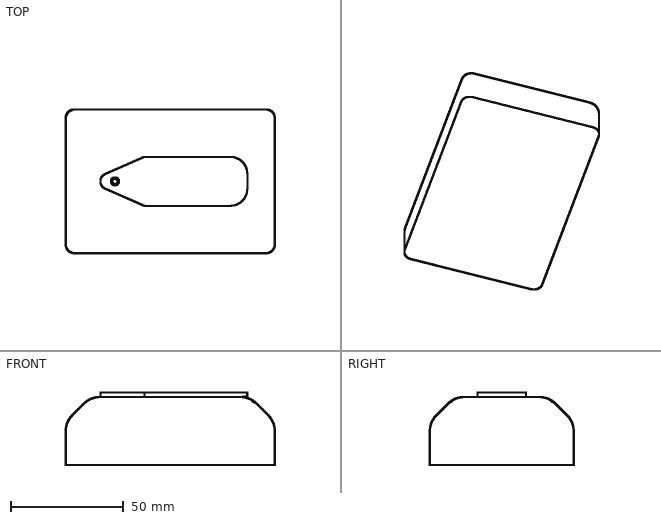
import cadquery as cq
import math

LENGTH = 93.0
WIDTH = 64.0
HOUSING_HEIGHT = 30.3
SLOPE_ANGLE = math.radians(45)
WALL_HEIGHT = 15.1
SHOULDER_RADIUS = 10.0
CORNER_RADIUS = 4.0

PLATE_THICKNESS = 1.95
PLATE_WIDTH = 21.8
PLATE_TIP_X = -31.1
PLATE_SHOULDER_X = -11.5
PLATE_END_X = 34.2
PLATE_TIP_RADIUS = 3.5
PLATE_END_RADIUS = 7.5

HOLE_X = -24.55
PLATE_HOLE_DIAMETER = 3.5
HOUSING_HOLE_DIAMETER = 2.4
HOUSING_HOLE_DEPTH = 3.5


def dome_section(plane, span, depth):
    """Bar with upright walls, 45 degree slopes and a flat top, rounded where they meet."""
    half = span / 2
    round_run = SHOULDER_RADIUS * math.sin(SLOPE_ANGLE)
    round_drop = SHOULDER_RADIUS * (1 - math.cos(SLOPE_ANGLE))
    arc_mid_run = SHOULDER_RADIUS * math.sin(SLOPE_ANGLE / 2)
    arc_mid_drop = SHOULDER_RADIUS * (1 - math.cos(SLOPE_ANGLE / 2))

    slope_low = (half - round_drop, WALL_HEIGHT + round_run)
    slope_high_z = HOUSING_HEIGHT - round_drop
    slope_run = (slope_high_z - slope_low[1]) / math.tan(SLOPE_ANGLE)
    slope_high = (slope_low[0] - slope_run, slope_high_z)
    top_half = slope_high[0] - round_run
    low_arc_mid = (half - arc_mid_drop, WALL_HEIGHT + arc_mid_run)
    high_arc_mid = (top_half + arc_mid_run, HOUSING_HEIGHT - arc_mid_drop)

    def left(point):
        return (-point[0], point[1])

    return (
        cq.Workplane(plane)
        .moveTo(-half, 0)
        .lineTo(half, 0)
        .lineTo(half, WALL_HEIGHT)
        .threePointArc(low_arc_mid, slope_low)
        .lineTo(*slope_high)
        .threePointArc(high_arc_mid, (top_half, HOUSING_HEIGHT))
        .lineTo(-top_half, HOUSING_HEIGHT)
        .threePointArc(left(high_arc_mid), left(slope_high))
        .lineTo(*left(slope_low))
        .threePointArc(left(low_arc_mid), (-half, WALL_HEIGHT))
        .close()
        .extrude(depth / 2, both=True)
    )


def hole_cutter(diameter, bottom_z, height):
    return (
        cq.Workplane("XY", origin=(HOLE_X, 0, bottom_z))
        .circle(diameter / 2)
        .extrude(height)
    )


def make_housing():
    """Domed block; the corner rounds run up the mitres and fade out at the flat top."""
    lengthwise = dome_section("XZ", LENGTH, WIDTH)
    crosswise = dome_section("YZ", WIDTH, LENGTH)
    block = lengthwise.intersect(crosswise).edges("|Z").fillet(CORNER_RADIUS)
    hole_bottom = HOUSING_HEIGHT - HOUSING_HOLE_DEPTH
    return block.cut(hole_cutter(HOUSING_HOLE_DIAMETER, hole_bottom, HOUSING_HOLE_DEPTH))


def make_plate():
    """Flat plate with a tapered, round-tipped nose and two rounded corners at the far end."""
    half_width = PLATE_WIDTH / 2
    tip_center_x = PLATE_TIP_X + PLATE_TIP_RADIUS

    run = PLATE_SHOULDER_X - tip_center_x
    shoulder_angle = math.atan2(half_width, run)
    tangent_angle = shoulder_angle + math.acos(PLATE_TIP_RADIUS / math.hypot(run, half_width))
    tangent_x = tip_center_x + PLATE_TIP_RADIUS * math.cos(tangent_angle)
    tangent_y = PLATE_TIP_RADIUS * math.sin(tangent_angle)

    return (
        cq.Workplane("XY", origin=(0, 0, HOUSING_HEIGHT))
        .moveTo(tangent_x, -tangent_y)
        .lineTo(PLATE_SHOULDER_X, -half_width)
        .lineTo(PLATE_END_X, -half_width)
        .lineTo(PLATE_END_X, half_width)
        .lineTo(PLATE_SHOULDER_X, half_width)
        .lineTo(tangent_x, tangent_y)
        .threePointArc((PLATE_TIP_X, 0), (tangent_x, -tangent_y))
        .close()
        .extrude(PLATE_THICKNESS)
        .edges("|Z and >X")
        .fillet(PLATE_END_RADIUS)
        .cut(hole_cutter(PLATE_HOLE_DIAMETER, HOUSING_HEIGHT, PLATE_THICKNESS))
    )


housing = make_housing()
plate = make_plate()

result = cq.Compound.makeCompound([housing.val(), plate.val()])